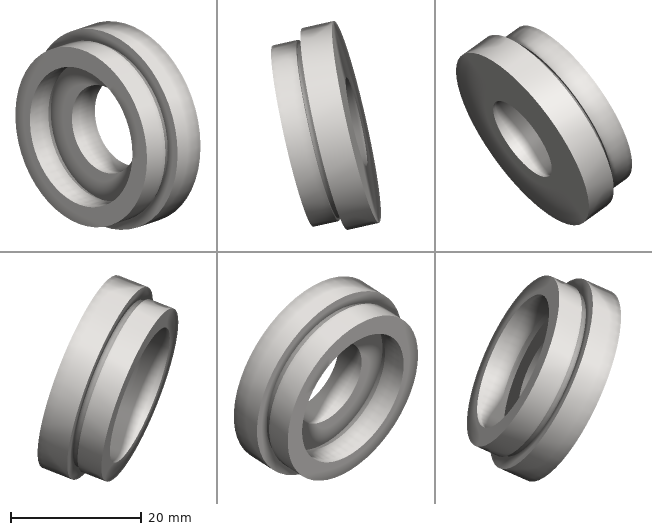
import cadquery as cq

total_length = 10.0
body_length = 4.0
neck_length = 1.02
recess_depth = 4.0
undercut_length = 1.02

flange_diameter = 31.75
body_diameter = 28.5
neck_diameter = 27.5
recess_diameter = 22.2
undercut_diameter = 23.18
bore_diameter = 14.0


def disc(diameter, start, length):
    """Cylinder about the Y axis, running from Y = start toward +Y."""
    plane = cq.Workplane("XZ", origin=(0, start, 0))
    return plane.circle(diameter / 2).extrude(-length)


flange_start = body_length + neck_length
body = disc(body_diameter, 0, body_length)
neck = disc(neck_diameter, body_length, neck_length)
flange = disc(flange_diameter, flange_start, total_length - flange_start)

recess = disc(recess_diameter, 0, recess_depth)
undercut = disc(undercut_diameter, recess_depth, undercut_length)
bore = disc(bore_diameter, 0, total_length)

result = body.union(neck).union(flange).cut(recess).cut(undercut).cut(bore)